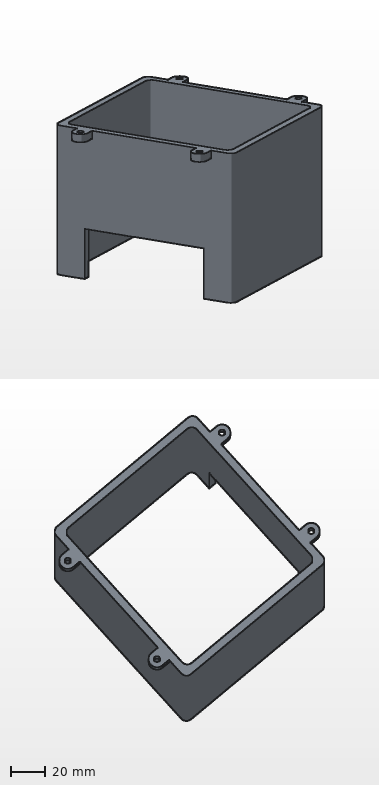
import cadquery as cq

length_x = 120.0
overall_y = 130.0
height = 92.0
wall = 5.0
corner_radius = 4.0

ear_width = 10.0
ear_thickness = 5.0
ear_spacing = 80.0
ear_reach = 10.0
ear_hole_diameter = 3.6
ear_radius = ear_width / 2
ear_center_y = overall_y / 2 - ear_radius

notch_width = 80.0
notch_height = 31.0

body_y = overall_y - 2 * ear_reach


def rounded_prism(size_x, size_y):
    """Full-height block with rounded vertical edges, standing on Z = 0."""
    block = cq.Workplane("XY").box(size_x, size_y, height, centered=(True, True, False))
    return block.edges("|Z").fillet(corner_radius)


def mounting_ear(x, side):
    """Drilled ear with a round tip, rooted in the front (-1) or back (+1) wall."""
    root_y = body_y / 2 - wall / 2
    plane = cq.Workplane("XY", origin=(0, 0, height - ear_thickness))
    tab = (
        plane.center(x, side * (root_y + ear_center_y) / 2)
        .rect(ear_width, ear_center_y - root_y)
        .extrude(ear_thickness)
    )
    tip = plane.center(x, side * ear_center_y).circle(ear_radius).extrude(ear_thickness)
    hole = plane.center(x, side * ear_center_y).circle(ear_hole_diameter / 2).extrude(ear_thickness)
    return tab.union(tip).cut(hole)


sleeve = rounded_prism(length_x, body_y).cut(rounded_prism(length_x - 2 * wall, body_y - 2 * wall))

notch = (
    cq.Workplane("XY")
    .box(notch_width, 2 * wall, notch_height, centered=(True, True, False))
    .translate((0, -body_y / 2, 0))
)
result = sleeve.cut(notch)

for ear_x in (-ear_spacing / 2, ear_spacing / 2):
    for ear_side in (-1, 1):
        result = result.union(mounting_ear(ear_x, ear_side))